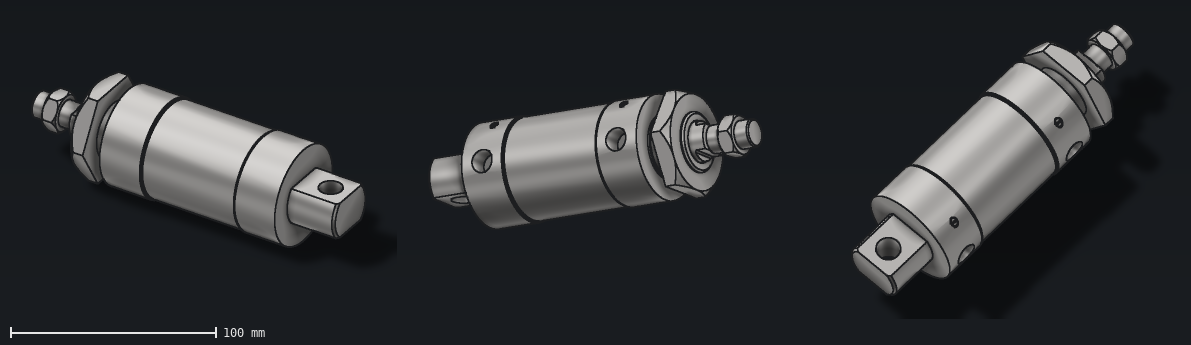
import cadquery as cq
import math

rod_nut_start = 8.0
rod_nut_thickness = 8.0
rod_hub_start = 24.0
wrench_flat_end = 30.0
sleeve_start = 32.2
mounting_nut_start = 33.8
mounting_nut_end = 43.0
pilot_start = 51.0
front_cap_start = 52.0
cap_length = 23.5
rear_cap_end = 153.0
tang_end = 180.0

rod_end = front_cap_start
rod_diameter = 14.0
rod_chamfer = 0.7
rod_hub_diameter = 20.0
rod_bore_diameter = 21.0
wrench_flat_width = 12.6
wrench_flat_chamfer = 0.9
rod_nut_width = 19.0

sleeve_diameter = 30.0
sleeve_chamfer = 1.0
pilot_diameter = 32.0
cap_diameter = 53.0
tube_diameter = 51.7
cap_edge_chamfer = 0.5
groove_diameter = 51.0
groove_width = 0.5
mounting_nut_width = 48.0

tang_diameter = sleeve_diameter
tang_thickness = 20.0
tang_chamfer = 1.3
tang_hole_diameter = 12.0
tang_hole_position = 168.7

port_diameter = 11.5
port_depth = 10.8
screw_inset = 1.3
screw_offset = 17.1
screw_ring_diameter = 4.0
screw_head_diameter = 3.2
screw_ring_floor = 18.0
screw_slot_width = 0.5
screw_slot_floor = 19.6


def disc(diameter, start, end):
    """Round bar along X between two axial positions."""
    return cq.Workplane("YZ", origin=(start, 0, 0)).circle(diameter / 2).extrude(end - start)


def hexagon_nut(width, start, end, chamfered_faces):
    """Solid hexagon along X, corners toward Y, its corners turned off on the chosen faces."""
    corner_diameter = width / math.cos(math.radians(30))
    corner_chamfer = (corner_diameter - width) / 2
    bar = cq.Workplane("YZ", origin=(start, 0, 0)).polygon(6, corner_diameter).extrude(end - start)
    turned = disc(corner_diameter, start, end).faces(chamfered_faces).chamfer(corner_chamfer)
    return bar.intersect(turned)


def make_rod():
    """Plain shank, hub with two wrench flats and the lock nut."""
    shank = disc(rod_diameter, 0, rod_hub_start).faces("<X").chamfer(rod_chamfer)
    hub = disc(rod_hub_diameter, rod_hub_start, rod_end)
    flat_length = wrench_flat_end - rod_hub_start
    flat_cut_height = rod_hub_diameter - wrench_flat_width
    for side in (1, -1):
        cutter = (
            cq.Workplane("XY")
            .box(2 * flat_length, rod_hub_diameter, flat_cut_height)
            .edges(">X and |Y")
            .chamfer(wrench_flat_chamfer)
            .translate((rod_hub_start, 0, side * (wrench_flat_width + flat_cut_height) / 2))
        )
        hub = hub.cut(cutter)
    nut = hexagon_nut(rod_nut_width, rod_nut_start, rod_nut_start + rod_nut_thickness, "<X or >X")
    return shank.union(hub).union(nut)


def cap_centers():
    """Axial middles of the front and rear caps."""
    return (front_cap_start + cap_length / 2, rear_cap_end - cap_length / 2)


def make_barrel():
    """Sleeve, pilot, tube and both caps, with a fine groove beside each cap."""
    sleeve = disc(sleeve_diameter, sleeve_start, pilot_start).faces("<X").chamfer(sleeve_chamfer)
    pilot = disc(pilot_diameter, pilot_start, front_cap_start)
    tube = disc(tube_diameter, front_cap_start, rear_cap_end)
    front_cap = disc(cap_diameter, front_cap_start, front_cap_start + cap_length)
    rear_cap = disc(cap_diameter, rear_cap_end - cap_length, rear_cap_end)
    front_cap = front_cap.faces(">X").chamfer(cap_edge_chamfer)
    rear_cap = rear_cap.faces("<X").chamfer(cap_edge_chamfer)
    barrel = sleeve.union(pilot).union(tube).union(front_cap).union(rear_cap)
    for groove_start in (front_cap_start + cap_length, rear_cap_end - cap_length - groove_width):
        groove_end = groove_start + groove_width
        groove_core = disc(groove_diameter, groove_start, groove_end)
        barrel = barrel.cut(disc(cap_diameter, groove_start, groove_end).cut(groove_core))
    return barrel


def make_tang():
    """Flattened rear tang with its cross hole."""
    round_bar = disc(tang_diameter, rear_cap_end, tang_end).faces(">X").chamfer(tang_chamfer)
    slab_length = tang_end - rear_cap_end
    slab = cq.Workplane("XY").box(slab_length, tang_diameter, tang_thickness)
    slab = slab.translate((rear_cap_end + slab_length / 2, 0, 0))
    pin_hole = cq.Workplane("XY", origin=(tang_hole_position, 0, 0)).circle(tang_hole_diameter / 2)
    return round_bar.intersect(slab).cut(pin_hole.extrude(tang_thickness, both=True))


def port(position):
    """Cutter for an air port entering a cap from the +Y side."""
    opening = cq.Workplane("XZ", origin=(position, cap_diameter / 2, 0))
    return opening.circle(port_diameter / 2).extrude(port_depth)


def screw_outline(position):
    """Cutter leaving a slotted screw head inside a narrow ring, sunk along -Z."""
    top = cap_diameter / 2
    ring = cq.Workplane("XY", origin=(position, screw_offset, screw_ring_floor))
    ring = ring.circle(screw_ring_diameter / 2).circle(screw_head_diameter / 2)
    slot = cq.Workplane("XY", origin=(position, screw_offset, screw_slot_floor))
    slot = slot.rect(screw_head_diameter, screw_slot_width)
    return ring.extrude(top - screw_ring_floor).union(slot.extrude(top - screw_slot_floor))


def make_cylinder():
    """Barrel, tang and mounting nut with the rod bore, ports and screws cut in."""
    mounting_nut = hexagon_nut(mounting_nut_width, mounting_nut_start, mounting_nut_end, "<X")
    cylinder = make_barrel().union(make_tang()).union(mounting_nut)
    cylinder = cylinder.cut(disc(rod_bore_diameter, sleeve_start, rod_end))
    front_center, rear_center = cap_centers()
    for center in (front_center, rear_center):
        cylinder = cylinder.cut(port(center))
    for position in (front_center + screw_inset, rear_center - screw_inset):
        cylinder = cylinder.cut(screw_outline(position))
    return cylinder


rod = make_rod()
cylinder = make_cylinder()

result = cq.Compound.makeCompound([rod.solids().val(), cylinder.solids().val()])